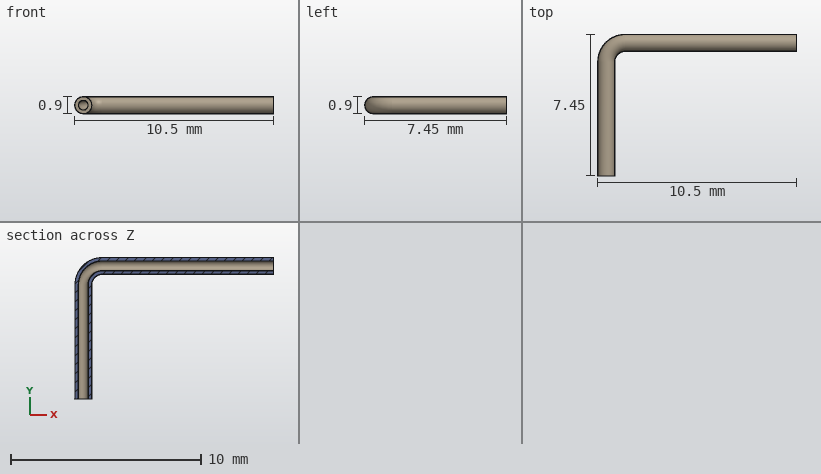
import cadquery as cq

length_x = 10.45
length_y = 7.45
outer_diameter = 0.9
bore_diameter = 0.5
bend_radius = 1.0

outer_radius = outer_diameter / 2
leg_x = length_x - bend_radius - outer_radius
leg_y = length_y - bend_radius - outer_radius

centreline = (
    cq.Workplane("XY")
    .moveTo(0, -bend_radius - leg_y)
    .lineTo(0, -bend_radius)
    .radiusArc((bend_radius, 0), bend_radius)
    .lineTo(bend_radius + leg_x, 0)
)

tube_section = (
    cq.Workplane("XZ", origin=(0, -bend_radius - leg_y, 0))
    .circle(outer_radius)
    .circle(bore_diameter / 2)
)

result = tube_section.sweep(centreline)